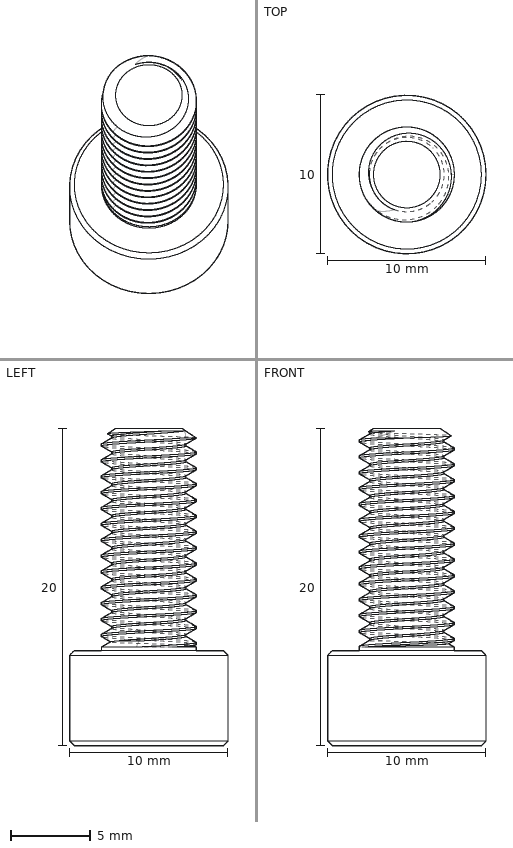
import cadquery as cq
import math

THREAD_DIAMETER = 6.0
PITCH = 1.0
LENGTH_UNDER_HEAD = 14.0
HEAD_DIAMETER = 10.0
HEAD_HEIGHT = THREAD_DIAMETER
HEAD_CHAMFER = 0.3

FLANK_ANGLE = 30.0
CREST_FLAT = PITCH / 8
ROOT_FLAT = PITCH / 8
CREST_OFFSET = 0.7

COLLAR_HEIGHT = 0.22
TIP_RADIUS = 2.1
TIP_CONE_HEIGHT = 0.6

thread_radius = THREAD_DIAMETER / 2
flank_slope = math.tan(math.radians(FLANK_ANGLE))
thread_depth = (PITCH - CREST_FLAT - ROOT_FLAT) / 2 / flank_slope
root_radius = thread_radius - thread_depth
tip_slope = TIP_CONE_HEIGHT / (thread_radius - TIP_RADIUS)

collar_top = HEAD_HEIGHT + COLLAR_HEIGHT
runout_apex = collar_top + thread_radius * flank_slope
total_height = HEAD_HEIGHT + LENGTH_UNDER_HEAD

SPARE_TURNS = 2
TRIM_CLEARANCE = 1.0
rod_turns = math.ceil(LENGTH_UNDER_HEAD / PITCH) + 2 * SPARE_TURNS
rod_start = HEAD_HEIGHT + CREST_OFFSET - SPARE_TURNS * PITCH
trim_radius = thread_radius + TRIM_CLEARANCE


def revolve_about_z(points):
    """Solid of revolution from a closed outline of (radius, height) points."""
    return cq.Workplane("XZ").polyline(points).close().revolve(360, (0, 0, 0), (0, 1, 0))


def make_head():
    """Plain cylindrical head, chamfered on both rims."""
    head = cq.Workplane("XY").circle(HEAD_DIAMETER / 2).extrude(HEAD_HEIGHT)
    return head.edges("%CIRCLE").chamfer(HEAD_CHAMFER)


def make_collar():
    """Full-diameter collar topped by the run-out cone, which slopes at the flank angle."""
    return revolve_about_z(
        [
            (0, HEAD_HEIGHT),
            (thread_radius, HEAD_HEIGHT),
            (thread_radius, collar_top),
            (0, runout_apex),
        ]
    )


def thread_profile(crest_height):
    """(radius, height) corners of one pitch: lower flank, crest, upper flank, root."""
    root_edge = (PITCH - ROOT_FLAT) / 2
    return [
        (root_radius, crest_height - root_edge),
        (thread_radius, crest_height - CREST_FLAT / 2),
        (thread_radius, crest_height + CREST_FLAT / 2),
        (root_radius, crest_height + root_edge),
        (root_radius, crest_height - root_edge + PITCH),
    ]


def helix_turn(radius, height):
    """One right-hand turn of helix, starting on the +X side at the given height."""
    helix = cq.Wire.makeHelix(PITCH, PITCH, radius)
    return helix.translate(cq.Vector(0, 0, height)).Edges()[0]


def make_turn_faces(crest_height):
    """Flanks, crest and root of one turn, each ruled between two helices."""
    profile = thread_profile(crest_height)
    return [
        cq.Face.makeRuledSurface(helix_turn(*lower), helix_turn(*upper))
        for lower, upper in zip(profile, profile[1:])
    ]


def make_end_faces(crest_height):
    """Helical ramp from the axis to the root, and the one-pitch step that closes it."""
    profile = thread_profile(crest_height)
    low_radius, low_height = profile[0]
    axis_low = cq.Vector(0, 0, low_height)
    axis_high = cq.Vector(0, 0, low_height + PITCH)
    axis = cq.Edge.makeLine(axis_low, axis_high)
    ramp = cq.Face.makeRuledSurface(axis, helix_turn(low_radius, low_height))
    corners = [cq.Vector(radius, 0, height) for radius, height in profile]
    step_outline = cq.Wire.makePolygon([axis_low, *corners, axis_high], close=True)
    return [ramp, cq.Face.makeFromWires(step_outline)]


def make_threaded_rod():
    """Over-long threaded rod, closed at each end by a helical ramp and a step."""
    faces = []
    for turn in range(rod_turns):
        faces += make_turn_faces(rod_start + turn * PITCH)
    for end_turn in (0, rod_turns):
        faces += make_end_faces(rod_start + end_turn * PITCH)
    return cq.Workplane(obj=cq.Solid.makeSolid(cq.Shell.makeShell(faces)))


def make_trim_envelope():
    """Space the thread may fill: above the run-out cone and inside the tip cone."""
    runout_edge = runout_apex - trim_radius * flank_slope
    tip_edge = total_height - (trim_radius - TIP_RADIUS) * tip_slope
    return revolve_about_z(
        [
            (0, runout_apex),
            (trim_radius, runout_edge),
            (trim_radius, tip_edge),
            (TIP_RADIUS, total_height),
            (0, total_height),
        ]
    )


thread = make_threaded_rod().intersect(make_trim_envelope())
result = make_head().union(make_collar()).union(thread)